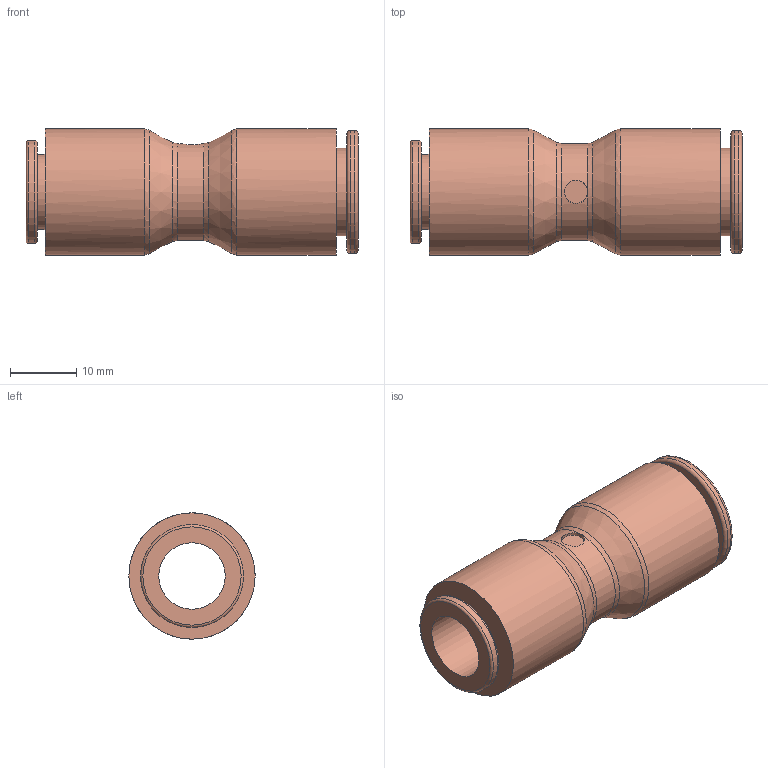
import cadquery as cq

total_length = 49.97
bore_radius = 10.0 / 2

body_start = 2.87
body_length = 43.8
body_radius = 19.0 / 2
waist_radius = 14.6 / 2
waist_half_length = 2.375
cone_length = 4.19
shoulder_round = 1.6

rim_width = 1.68
left_rim_radius = 15.5 / 2
left_neck_radius = 11.3 / 2
left_rim_round = 0.36
right_rim_radius = 18.5 / 2
right_neck_radius = 13.2 / 2
right_rim_round = 0.5

badge_x = 0.0
badge_radius = 3.5 / 2
badge_depth = 0.55

left_end = -total_length / 2
right_end = total_length / 2
body_left = left_end + body_start
body_right = body_left + body_length
body_middle = (body_left + body_right) / 2


def cylinder_along_x(start, end, radius):
    return cq.Workplane("YZ", origin=(start, 0, 0)).circle(radius).extrude(end - start)


def make_body():
    waist_left = body_middle - waist_half_length
    waist_right = body_middle + waist_half_length
    profile = (
        cq.Workplane("XY")
        .moveTo(body_left, 0)
        .lineTo(body_left, body_radius)
        .lineTo(waist_left - cone_length, body_radius)
        .lineTo(waist_left, waist_radius)
        .lineTo(waist_right, waist_radius)
        .lineTo(waist_right + cone_length, body_radius)
        .lineTo(body_right, body_radius)
        .lineTo(body_right, 0)
        .close()
    )
    body = profile.revolve(360, (0, 0, 0), (1, 0, 0))
    reach = waist_half_length + cone_length + shoulder_round
    cone_edges = cq.selectors.BoxSelector(
        (body_middle - reach, -body_radius * 2, -body_radius * 2),
        (body_middle + reach, body_radius * 2, body_radius * 2),
    )
    return body.edges("%CIRCLE").edges(cone_edges).fillet(shoulder_round)


def make_rim(start, width, radius, edge_round):
    rim = cylinder_along_x(start, start + width, radius)
    return rim.edges("%CIRCLE").fillet(edge_round)


def make_collars():
    left_neck = cylinder_along_x(left_end + rim_width, body_left, left_neck_radius)
    right_neck = cylinder_along_x(body_right, right_end - rim_width, right_neck_radius)
    left_rim = make_rim(left_end, rim_width, left_rim_radius, left_rim_round)
    right_rim = make_rim(right_end - rim_width, rim_width, right_rim_radius, right_rim_round)
    return left_neck.union(left_rim), right_neck.union(right_rim)


def make_badge_seat():
    floor = waist_radius - badge_depth
    return (
        cq.Workplane("XY", origin=(badge_x, 0, floor))
        .circle(badge_radius)
        .extrude(body_radius - floor)
    )


left_collar, right_collar = make_collars()
bore = cylinder_along_x(left_end, right_end, bore_radius)
result = make_body().union(left_collar).union(right_collar).cut(bore).cut(make_badge_seat())